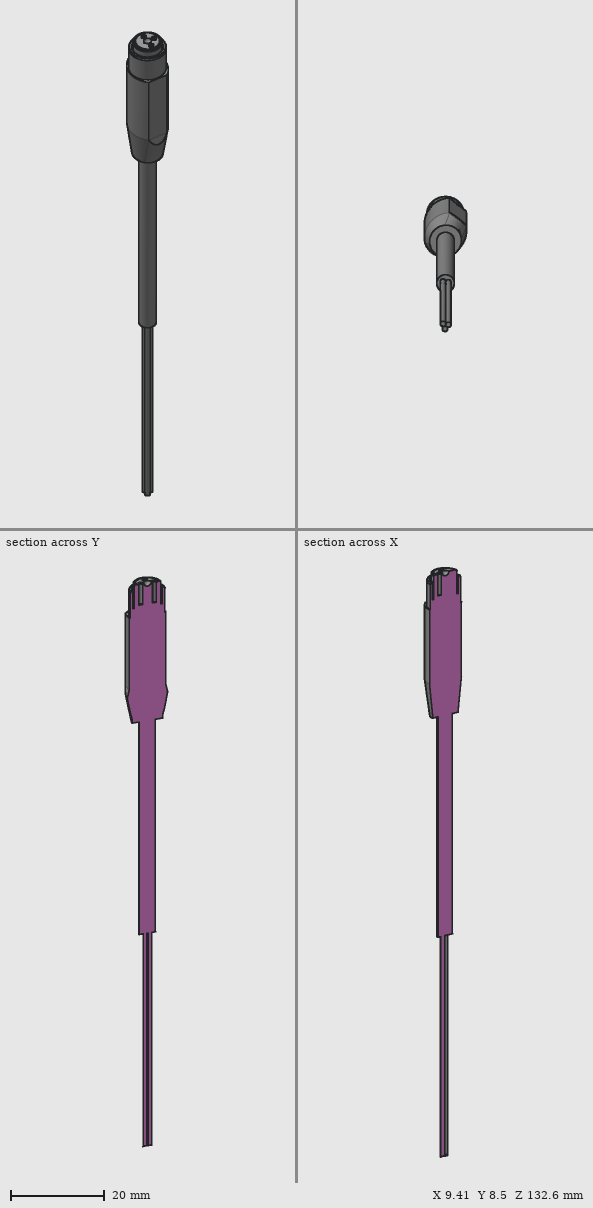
import cadquery as cq
import math

grip_length = 32.6
cable_length = 50.0
wire_length = 50.0

barrel_depth = 8.5
flat_distance = 8.5
flat_width = 4.6
barrel_bottom_z = 8.0
barrel_top_z = 24.9
foot_bottom_depth = 6.72
foot_bottom_span = 7.0
foot_bottom_corner_distance = 5.1
foot_span = 9.41
foot_widest_z = 6.0

sleeve_diameter = 8.1
sleeve_rim_diameter = 7.7
sleeve_bore_diameter = 6.72
sleeve_top_z = 31.0
sleeve_rim_height = 0.4
sleeve_bore_depth = 4.0

plug_diameter = 6.17
plug_shoulder_diameter = 5.67
plug_edge_height = 0.25
plug_face_diameter = 5.17
plug_face_step = 0.1
socket_diameter = 0.8
socket_depth = 5.0
socket_mouth_diameter = 1.07
socket_mouth_depth = 0.3
socket_offset = 1.6
socket_angles = [0, 90, 180]
dimple_diameter = 1.7

cable_diameter = 3.8
wire_diameter = 1.15
wire_gap = 0.02
wire_angles = [90, 210, 330]
wire_circle_radius = (wire_diameter + wire_gap) / math.sqrt(3)


def cylinder(diameter, bottom_z, length, center=(0, 0)):
    """Upright cylinder standing on bottom_z."""
    return cq.Workplane("XY", origin=(*center, bottom_z)).circle(diameter / 2).extrude(length)


def revolve_about_z(half_profile):
    """Solid of revolution from (radius, z) points."""
    return cq.Workplane("XZ").polyline(half_profile).close().revolve(360, (0, 0), (0, 1))


def point_at(distance, angle):
    """Point in the XY plane at a distance from the axis."""
    turn = math.radians(angle)
    return distance * math.cos(turn), distance * math.sin(turn)


def draw_section(plane, half_flat, half_span, half_depth):
    """Outline of four arcs that meet at the corners of the flats."""
    x = half_flat
    y = flat_width / 2
    return (
        plane.moveTo(x, y)
        .threePointArc((0, half_depth), (-x, y))
        .threePointArc((-half_span, 0), (-x, -y))
        .threePointArc((0, -half_depth), (x, -y))
        .threePointArc((half_span, 0), (x, y))
        .close()
    )


def make_barrel():
    """Prism with two bulged sides along Y and two flats along X."""
    x = flat_distance / 2
    y = flat_width / 2
    outline = (
        cq.Workplane("XY", origin=(0, 0, barrel_bottom_z))
        .moveTo(x, y)
        .threePointArc((0, barrel_depth / 2), (-x, y))
        .lineTo(-x, -y)
        .threePointArc((0, -barrel_depth / 2), (x, -y))
        .close()
    )
    return outline.extrude(barrel_top_z - barrel_bottom_z)


def make_foot():
    """Taper from a nearly round lower end to the barrel, with a sloped ledge under each flat."""
    bottom_half_span = foot_bottom_span / 2
    half_flat = flat_distance / 2
    half_span = foot_span / 2
    flare = (half_span - bottom_half_span) / foot_widest_z
    top_half_span = bottom_half_span + flare * barrel_bottom_z

    bottom_half_corner = foot_bottom_corner_distance / 2
    foot = draw_section(cq.Workplane("XY"), bottom_half_corner, bottom_half_span, foot_bottom_depth / 2)
    top_plane = foot.workplane(offset=barrel_bottom_z)
    foot = draw_section(top_plane, half_flat, top_half_span, barrel_depth / 2).loft(ruled=True)

    ledge_outline = [
        (-half_span, 0),
        (half_span, 0),
        (half_span, foot_widest_z),
        (half_flat, barrel_bottom_z),
        (-half_flat, barrel_bottom_z),
        (-half_span, foot_widest_z),
    ]
    ledge_envelope = cq.Workplane("XZ").polyline(ledge_outline).close().extrude(barrel_depth, both=True)
    return foot.intersect(ledge_envelope)


def make_sleeve():
    """Round sleeve with a bevelled rim and a bore that leaves a gap around the plug."""
    bore_radius = sleeve_bore_diameter / 2
    bore_floor_z = sleeve_top_z - sleeve_bore_depth
    return revolve_about_z([
        (0, barrel_top_z),
        (sleeve_diameter / 2, barrel_top_z),
        (sleeve_diameter / 2, sleeve_top_z - sleeve_rim_height),
        (sleeve_rim_diameter / 2, sleeve_top_z),
        (bore_radius, sleeve_top_z),
        (bore_radius, bore_floor_z),
        (0, bore_floor_z),
    ])


def make_plug():
    """Round plug with a bevelled edge, a slightly raised face, three sockets and the dimple."""
    plug_radius = plug_diameter / 2
    face_radius = plug_face_diameter / 2
    shoulder_z = grip_length - plug_face_step
    plug = revolve_about_z([
        (0, barrel_top_z),
        (plug_radius, barrel_top_z),
        (plug_radius, shoulder_z - plug_edge_height),
        (plug_shoulder_diameter / 2, shoulder_z),
        (face_radius, shoulder_z),
        (face_radius, grip_length),
        (0, grip_length),
    ])
    mouth_z = grip_length - socket_mouth_depth
    for angle in socket_angles:
        center = point_at(socket_offset, angle)
        plug = plug.cut(cylinder(socket_diameter, grip_length - socket_depth, socket_depth, center))
        plug = plug.cut(cylinder(socket_mouth_diameter, mouth_z, socket_mouth_depth, center))
    dimple = cq.Workplane("XY", origin=(0, 0, grip_length)).sphere(dimple_diameter / 2)
    return plug.cut(dimple)


def make_cable():
    """Cable jacket with the wires leaving its lower end."""
    cable = cylinder(cable_diameter, -cable_length, cable_length)
    wire_end_z = -cable_length - wire_length
    for angle in wire_angles:
        center = point_at(wire_circle_radius, angle)
        cable = cable.union(cylinder(wire_diameter, wire_end_z, wire_length, center))
    return cable


sleeve_with_plug = make_sleeve().union(make_plug())
grip = make_foot().union(make_barrel()).union(sleeve_with_plug)
result = grip.union(make_cable())